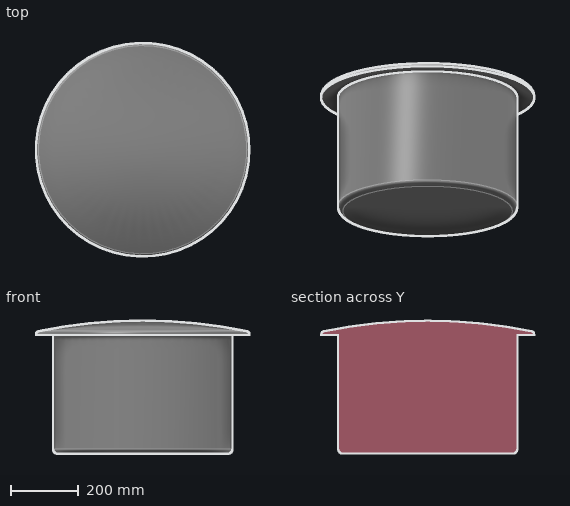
import cadquery as cq
import math

body_diameter = 530.0
cap_diameter = 630.0
total_height = 393.68
body_height = 350.0

dome_radius = 1520.0
rim_fillet = 10.0
base_fillet = 15.0


def make_body():
    """Cylindrical body standing on Z = 0, with a rounded bottom edge."""
    body = cq.Workplane("XY").circle(body_diameter / 2).extrude(body_height)
    return body.faces("<Z").edges().fillet(base_fillet)


def make_cap():
    """Overhanging domed cap, revolved about Z, with a rounded rim."""
    cap_radius = cap_diameter / 2
    dome_center_z = total_height - dome_radius

    rim_center_r = cap_radius - rim_fillet
    center_distance = dome_radius - rim_fillet
    rim_center_z = dome_center_z + math.sqrt(center_distance**2 - rim_center_r**2)

    meet_angle = math.asin(rim_center_r / center_distance)
    rim_mid_angle = (meet_angle + math.pi / 2) / 2
    dome_mid_angle = meet_angle / 2

    def rim_point(angle):
        return (
            rim_center_r + rim_fillet * math.sin(angle),
            rim_center_z + rim_fillet * math.cos(angle),
        )

    dome_mid = (
        dome_radius * math.sin(dome_mid_angle),
        dome_center_z + dome_radius * math.cos(dome_mid_angle),
    )

    profile = (
        cq.Workplane("XZ")
        .moveTo(0, body_height)
        .lineTo(cap_radius, body_height)
        .lineTo(cap_radius, rim_center_z)
        .threePointArc(rim_point(rim_mid_angle), rim_point(meet_angle))
        .threePointArc(dome_mid, (0, total_height))
        .close()
    )
    return profile.revolve(360, (0, 0, 0), (0, 1, 0))


result = make_body().union(make_cap())